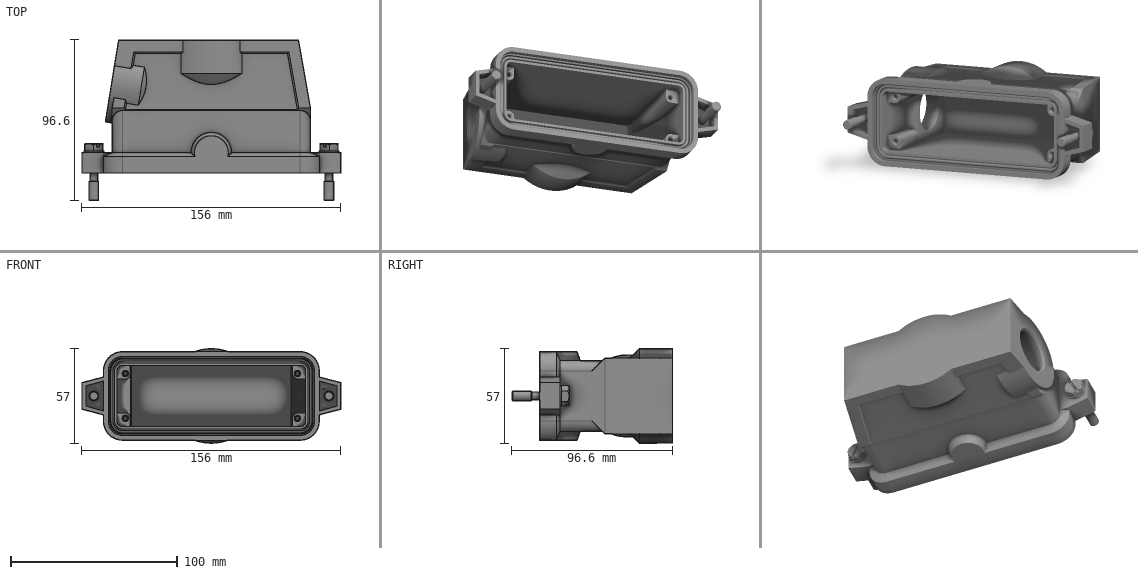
import math

import cadquery as cq


flange_half_x = 65.0
flange_half_z = 26.7
flange_corner_r = 11.6
flange_rim_y = 10.0
flange_top_y = 12.3

body_half_x = 59.7
body_half_z = 21.3
body_corner_r = flange_corner_r - (flange_half_x - body_half_x)

back_y = 80.0
block_base_y = 39.2
block_half_z = 22.8
block_underside = 8.4
block_wall_angle = 10.0
block_lean = math.tan(math.radians(block_wall_angle))
block_top_half_x = body_half_x - (back_y - block_base_y) * block_lean

panel_frame = 7.1
panel_depth = 1.0

bulge_r = 28.5
bulge_end_y = 60.0

port_angle = 9.2
port_center_x = -59.9
port_center_y = 55.2
port_r = 24.7
port_length = 18.0
port_pad_thickness = 5.0
port_hole_r = 13.2
port_hole_chamfer = 1.1
port_hole_depth = 16.0

cavity_half_x = 56.8
cavity_half_z = 18.4
cavity_corner_r = 3.3
cavity_taper_y = 34.0
cavity_step_y = 38.0
cavity_floor_y = 74.8
cavity_floor_half_x = 48.0
cavity_step_half_x = 48.6

mouth_inset = 2.95
mouth_depth = 3.5
groove_outer_inset = 3.8
groove_inner_inset = 6.8
groove_floor_y = 6.0
bead_outer_inset = 4.4
bead_inner_inset = 5.8
bead_top_y = 4.0
bead_edge_r = 0.4

pillar_inner_x = 48.9
pillar_inner_z = 10.2
pillar_corner_r = 3.0
pillar_face_y = 11.7
pillar_hole_x = 51.8
pillar_hole_z = 13.5
pillar_hole_r = 1.3
pillar_hole_chamfer = 0.6
pillar_hole_depth = 12.0

bump_base_r = 12.2
bump_top_r = 10.2
bump_center_y = flange_top_y

ear_tip_x = 78.0
ear_root_half_z = 11.4
ear_tip_half_z = 8.0
ear_pocket_tip_x = 75.5
ear_pocket_root_half_z = 9.0
ear_pocket_tip_half_z = 6.1
ear_pocket_depth = 9.5

screw_x = 70.75
shank_r = 2.4
thread_r = 2.95
thread_start_y = -4.7
thread_end_y = -16.6
thread_chamfer = 0.5
washer_r = 6.0
washer_thickness = 0.9
hex_corner_r = 6.2
hex_height = 4.6
hex_chamfer = 0.9
hex_turn = 32.5
slot_width = 1.8
slot_depth = 2.0
slot_turn = 62.0

overlap = 1.0


def plane_at(y):
    """Workplane facing +Y at height y: local x is +X, local y is -Z."""
    return cq.Workplane(cq.Plane((0, y, 0), xDir=(1, 0, 0), normal=(0, 1, 0)))


def rounded_slab(half_x, half_z, corner_r, y_start, y_end):
    slab = plane_at(y_start).rect(2 * half_x, 2 * half_z).extrude(y_end - y_start)
    return slab.edges("|Y").fillet(corner_r)


def mouth_slab(inset, depth):
    """Slab concentric with the flange outline, sunk from the mating face."""
    return rounded_slab(
        flange_half_x - inset, flange_half_z - inset, flange_corner_r - inset, 0, depth
    )


def mouth_ring(outer_inset, inner_inset, depth):
    return mouth_slab(outer_inset, depth).cut(mouth_slab(inner_inset, depth))


def make_seal_groove():
    """Groove with a round-topped bead left standing along its middle."""
    groove = mouth_ring(groove_outer_inset, groove_inner_inset, groove_floor_y)
    bead = mouth_ring(bead_outer_inset, bead_inner_inset, groove_floor_y - bead_top_y)
    bead = bead.faces("<Y").edges().fillet(bead_edge_r).translate((0, bead_top_y, 0))
    return groove.cut(bead)


def make_flange():
    rim = rounded_slab(flange_half_x, flange_half_z, flange_corner_r, 0, flange_top_y)
    shoulder_height = flange_top_y - flange_rim_y
    shoulder_width = flange_half_x - body_half_x
    return rim.faces(">Y").edges().chamfer(shoulder_height, shoulder_width)


def make_block():
    underside_y = block_base_y - block_underside
    outline = [
        (-body_half_x, underside_y),
        (body_half_x, underside_y),
        (body_half_x, block_base_y),
        (block_top_half_x, back_y),
        (-block_top_half_x, back_y),
        (-body_half_x, block_base_y),
    ]
    block = cq.Workplane("XY").polyline(outline).close().extrude(block_half_z, both=True)
    root_half_z = block_half_z - block_underside
    side_profile = [
        (underside_y, -root_half_z),
        (block_base_y, -block_half_z),
        (back_y, -block_half_z),
        (back_y, block_half_z),
        (block_base_y, block_half_z),
        (underside_y, root_half_z),
    ]
    envelope = cq.Workplane("YZ").polyline(side_profile).close().extrude(body_half_x, both=True)
    return block.intersect(envelope)


def make_panel_recess():
    """Tapered cutter with 45 degree edges, open towards the lower body."""
    top_y = back_y - panel_frame
    bottom_y = block_base_y - block_underside
    top_half_x = block_top_half_x + panel_frame * block_lean - panel_frame
    bottom_half_x = top_half_x + (top_y - bottom_y) * block_lean
    outline = [
        (-bottom_half_x, bottom_y),
        (bottom_half_x, bottom_y),
        (top_half_x, top_y),
        (-top_half_x, top_y),
    ]
    surface = cq.Workplane("XY").workplane(offset=block_half_z)
    return surface.polyline(outline).close().extrude(-panel_depth, taper=45)


def make_bulge():
    cone_tip_y = bulge_end_y - bulge_r
    profile = [(0, cone_tip_y), (bulge_r, bulge_end_y), (bulge_r, back_y), (0, back_y)]
    bulge = cq.Workplane("XY").polyline(profile).close().revolve(360, (0, 0), (0, 1))
    width = 2 * math.sqrt(bulge_r**2 - (block_half_z - panel_depth) ** 2)
    bounds = cq.Workplane("XY").box(width, 2 * back_y, 2 * bulge_r)
    return bulge.intersect(bounds)


def port_plane():
    """Workplane on the port face: local x is -Z, local y runs up the face, normal points inwards."""
    tilt = math.radians(port_angle)
    inward = (math.cos(tilt), -math.sin(tilt), 0)
    return cq.Workplane(
        cq.Plane((port_center_x, port_center_y, 0), xDir=(0, 0, -1), normal=inward)
    )


def make_port():
    cone_end = port_length + port_r
    tilt = math.radians(port_angle)
    profile = [(0, 0), (port_r, 0), (port_r, port_length), (0, cone_end)]
    frame = cq.Plane(
        (port_center_x, port_center_y, 0),
        xDir=(math.sin(tilt), math.cos(tilt), 0),
        normal=(0, 0, -1),
    )
    ring = cq.Workplane(frame).polyline(profile).close().revolve(360, (0, 0), (0, 1))
    pad_length = back_y - port_center_y + 2 * port_pad_thickness
    pad = (
        port_plane()
        .center(0, pad_length / 2)
        .rect(2 * block_half_z, pad_length)
        .extrude(port_pad_thickness)
    )
    below_back = cq.Workplane("XY").box(4 * flange_half_x, 2 * back_y, 2 * bulge_r)
    return ring.union(pad).intersect(below_back)


def make_port_hole():
    hole = port_plane().circle(port_hole_r).extrude(port_hole_depth)
    mouth = cq.Workplane(
        cq.Solid.makeCone(
            port_hole_r + port_hole_chamfer,
            port_hole_r,
            port_hole_chamfer,
            port_plane().plane.origin,
            port_plane().plane.zDir,
        )
    )
    return hole.union(mouth)


def make_cavity():
    outline = [
        (-cavity_half_x, 0),
        (cavity_half_x, 0),
        (cavity_half_x, cavity_taper_y),
        (cavity_floor_half_x, cavity_floor_y),
        (-cavity_floor_half_x, cavity_floor_y),
        (-cavity_step_half_x, cavity_step_y),
        (-cavity_half_x, cavity_step_y),
    ]
    cavity = cq.Workplane("XY").polyline(outline).close().extrude(cavity_half_z, both=True)
    return cavity.edges("|Y").fillet(cavity_corner_r)


def make_pillars():
    """Four corner pillars, each rounded on the corner facing the middle of the cavity."""
    block = (
        plane_at(pillar_face_y)
        .rect(2 * body_half_x, 2 * body_half_z)
        .extrude(cavity_floor_y + overlap - pillar_face_y)
    )
    height = 2 * back_y
    lengthwise = cq.Workplane("XY").box(4 * body_half_x, height, 2 * pillar_inner_z)
    crosswise = cq.Workplane("XY").box(2 * pillar_inner_x, height, 4 * body_half_z)
    pillars = block.cut(lengthwise).cut(crosswise)
    inner_x = pillar_inner_x + pillar_corner_r
    inner_z = pillar_inner_z + pillar_corner_r
    inner_edges = cq.selectors.BoxSelector(
        (-inner_x, 0, -inner_z), (inner_x, 2 * back_y, inner_z)
    )
    return pillars.edges("|Y").edges(inner_edges).fillet(pillar_corner_r)


def make_pillar_holes():
    spacing_x = 2 * pillar_hole_x
    spacing_z = 2 * pillar_hole_z
    drill = plane_at(pillar_face_y).rarray(spacing_x, spacing_z, 2, 2)
    holes = drill.circle(pillar_hole_r).extrude(pillar_hole_depth)
    mouths = (
        plane_at(pillar_face_y)
        .rarray(spacing_x, spacing_z, 2, 2)
        .circle(pillar_hole_r + pillar_hole_chamfer)
        .extrude(pillar_hole_chamfer, taper=45)
    )
    return holes.union(mouths)


def make_bumps():
    """Conical half-round bumps level with the flange edge, one on each broad side."""
    height = flange_half_z - body_half_z
    side = cq.Workplane("XY").workplane(offset=body_half_z).center(0, bump_center_y)
    bump = side.circle(bump_base_r).workplane(offset=height).circle(bump_top_r).loft()
    upper_half = cq.Workplane("XY").box(
        2 * bump_base_r, 2 * bump_base_r, 4 * flange_half_z
    ).translate((0, flange_rim_y + bump_base_r, 0))
    bump = bump.intersect(upper_half)
    return bump.union(bump.mirror("XY"))


def make_ear():
    outline = [
        (body_half_x, -ear_root_half_z),
        (flange_half_x, -ear_root_half_z),
        (ear_tip_x, -ear_tip_half_z),
        (ear_tip_x, ear_tip_half_z),
        (flange_half_x, ear_root_half_z),
        (body_half_x, ear_root_half_z),
    ]
    pocket = [
        (flange_half_x, -ear_pocket_root_half_z),
        (ear_pocket_tip_x, -ear_pocket_tip_half_z),
        (ear_pocket_tip_x, ear_pocket_tip_half_z),
        (flange_half_x, ear_pocket_root_half_z),
    ]
    ear = plane_at(0).polyline(outline).close().extrude(flange_top_y)
    return ear.cut(plane_at(0).polyline(pocket).close().extrude(ear_pocket_depth))


def make_screw():
    """Slotted hexagon screw with a washer, at the +X ear."""
    washer_top_y = flange_top_y + washer_thickness
    head_top_y = washer_top_y + hex_height
    thread = (
        plane_at(thread_end_y)
        .circle(thread_r)
        .extrude(thread_start_y - thread_end_y)
        .edges()
        .chamfer(thread_chamfer)
    )
    shank = plane_at(thread_start_y).circle(shank_r).extrude(washer_top_y - thread_start_y)
    washer = plane_at(flange_top_y).circle(washer_r).extrude(washer_thickness)
    head = plane_at(washer_top_y).polygon(6, 2 * hex_corner_r).extrude(hex_height)
    head = head.rotate((0, 0, 0), (0, 1, 0), hex_turn)
    crown = (
        plane_at(washer_top_y)
        .circle(hex_corner_r)
        .extrude(hex_height)
        .faces(">Y")
        .edges()
        .chamfer(hex_chamfer)
    )
    head = head.intersect(crown)
    slot = (
        plane_at(head_top_y - slot_depth)
        .rect(3 * hex_corner_r, slot_width)
        .extrude(slot_depth)
        .rotate((0, 0, 0), (0, 1, 0), slot_turn)
    )
    screw = thread.union(shank).union(washer).union(head.cut(slot))
    return screw.translate((screw_x, 0, 0))


panel_recess = make_panel_recess()
block = make_block().cut(panel_recess).cut(panel_recess.mirror("XY"))
ear = make_ear()
hood = make_flange()
hood = hood.union(rounded_slab(body_half_x, body_half_z, body_corner_r, 0, block_base_y))
hood = hood.union(block).union(make_bulge()).union(make_port()).union(make_bumps())
hood = hood.union(ear).union(ear.mirror("YZ"))

hood = hood.cut(make_cavity().cut(make_pillars()))
hood = hood.cut(mouth_slab(mouth_inset, mouth_depth)).cut(make_seal_groove())
hood = hood.cut(make_port_hole()).cut(make_pillar_holes())

screw = make_screw()
result = hood.union(screw).union(screw.mirror("YZ"))